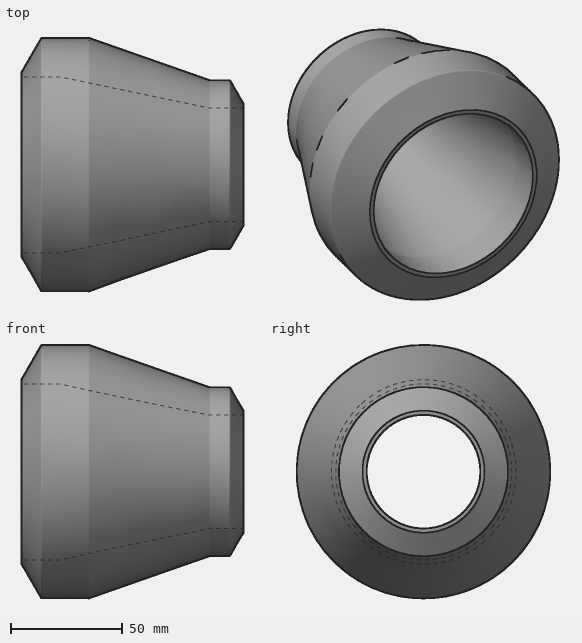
import cadquery as cq
import math

length = 100.0
large_outer_radius = 114.3 / 2
small_outer_radius = 76.1 / 2
large_bore_radius = 79.3 / 2
small_bore_radius = 51.1 / 2

large_neck_end = 30.4
small_neck_start = 84.8

large_bore_depth = 17.1

edge_radius = 1.0

root_face = 2.0
bevel_angle = math.radians(30)


def bevel_length(outer_radius, bore_radius):
    """Axial length of the bevel from the root face to the outer wall."""
    return (outer_radius - bore_radius - root_face) * math.tan(bevel_angle)


large_bevel = bevel_length(large_outer_radius, large_bore_radius)
small_bevel = bevel_length(small_outer_radius, small_bore_radius)

wall_section = (
    cq.Workplane("XY")
    .moveTo(0, large_bore_radius)
    .lineTo(0, large_bore_radius + root_face)
    .lineTo(large_bevel, large_outer_radius)
    .lineTo(large_neck_end, large_outer_radius)
    .lineTo(small_neck_start, small_outer_radius)
    .lineTo(length - small_bevel, small_outer_radius)
    .lineTo(length, small_bore_radius + root_face)
    .lineTo(length, small_bore_radius)
    .lineTo(small_neck_start, small_bore_radius)
    .lineTo(large_bore_depth, large_bore_radius)
    .close()
)

reducer = wall_section.revolve(360, (0, 0, 0), (1, 0, 0))

outer_corners = [
    (large_bevel, large_outer_radius),
    (large_neck_end, large_outer_radius),
    (small_neck_start, small_outer_radius),
    (length - small_bevel, small_outer_radius),
]

for position, radius in outer_corners:
    corner = cq.Vector(position, radius, 0)
    rounded_edges = [
        edge
        for edge in reducer.edges("%CIRCLE").vals()
        if (edge.startPoint() - corner).Length < edge_radius / 10
    ]
    reducer = reducer.newObject(rounded_edges).fillet(edge_radius)

result = reducer